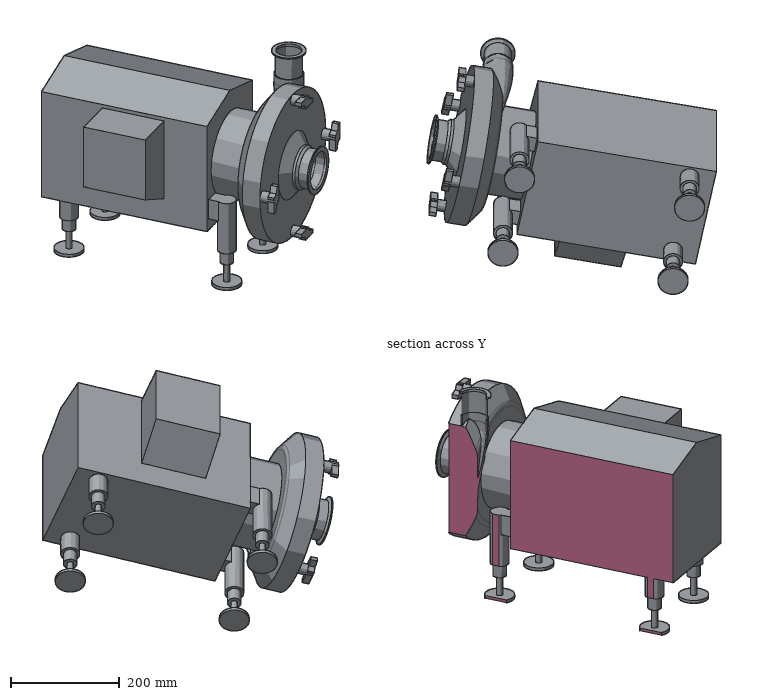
import cadquery as cq


cabinet_length = 335.5
cabinet_width = 203.0
cabinet_bottom = -118.0
eaves_height = 101.0
ridge_height = 127.5

box_start = 123.5
box_length = 124.5
box_top = 93.5
box_bottom_outer = -31.0
box_bottom_inner = -68.0
box_outer_y = -185.0

drum_diameter = 166.0
casing_diameter = 294.0
casing_back = 402.5
casing_back_radius = 114.5
casing_back_fillet = 15.5
casing_cone_end = 427.5
casing_front = 463.0

inlet_end = 515.0
inlet_cone_radius = 65.5
inlet_collar_diameter = 84.5
inlet_collar_start = 481.0
inlet_collar_end = 486.0
inlet_pipe_start = 491.5
inlet_pipe_diameter = 76.0
inlet_bore = 72.0
inlet_rim_diameter = 91.0

outlet_x = 410.0
outlet_y = 99.0
outlet_top = 181.0
outlet_rim_diameter = 64.0
outlet_pipe_diameter = 51.0
outlet_bore = 48.0
outlet_collar_diameter = 55.0
outlet_collar_top = 133.0
outlet_collar_bottom = 117.0
transition_wall = (outlet_collar_diameter - outlet_bore) / 2

rim_thickness = 2.5
flare_length = 3.0

clamp_count = 4
clamp_stem_diameter = 21.0
clamp_radius = (casing_diameter - clamp_stem_diameter) / 2
clamp_wing_start = 479.0
clamp_end = 492.0
wing_half_depth = 10.5
wing_gap_half = 2.5
wing_shoulder = 7.0
wing_step = 12.0
wing_step_front = -1.0
wing_tip = 25.0
wing_tip_front = 2.5

rear_leg_x = 46.5
front_leg_x = 365.5
leg_y = 80.5
leg_diameter = 35.0
leg_bottom = -158.5
sleeve_diameter = 25.0
sleeve_bottom = -184.0
rod_diameter = 12.0
foot_diameter = 55.5
foot_bottom = -229.0
foot_thickness = 6.0
bracket_top = -54.0
bracket_height = 40.0
bracket_width = 29.0


def rod_z(x, y, bottom, top, diameter):
    """Vertical cylinder between two heights."""
    return cq.Workplane("XY", origin=(x, y, bottom)).circle(diameter / 2).extrude(top - bottom)


def rod_x(start, end, diameter, y=0):
    """Cylinder parallel to the shaft."""
    return cq.Workplane("YZ", origin=(start, y, 0)).circle(diameter / 2).extrude(end - start)


def cabinet():
    half_width = cabinet_width / 2
    outline = [
        (-half_width, cabinet_bottom),
        (half_width, cabinet_bottom),
        (half_width, eaves_height),
        (0, ridge_height),
        (-half_width, eaves_height),
    ]
    return cq.Workplane("YZ").polyline(outline).close().extrude(cabinet_length)


def terminal_box():
    wall_y = -cabinet_width / 2
    outline = [
        (wall_y, box_top),
        (box_outer_y, box_top),
        (box_outer_y, box_bottom_outer),
        (wall_y, box_bottom_inner),
    ]
    return cq.Workplane("YZ", origin=(box_start, 0, 0)).polyline(outline).close().extrude(box_length)


def casing():
    outline = [
        (casing_back, 0),
        (casing_back, casing_back_radius),
        (casing_cone_end, casing_diameter / 2),
        (casing_front, casing_diameter / 2),
        (casing_front, 0),
    ]
    body = cq.Workplane("XY").polyline(outline).close().revolve(360, (0, 0, 0), (1, 0, 0))
    return body.faces("<X").edges().fillet(casing_back_fillet)


def inlet():
    pipe_radius = inlet_pipe_diameter / 2
    rim_start = inlet_end - rim_thickness
    outline = [
        (casing_front, 0),
        (casing_front, inlet_cone_radius),
        (inlet_collar_start, inlet_collar_diameter / 2),
        (inlet_collar_end, inlet_collar_diameter / 2),
        (inlet_pipe_start, pipe_radius),
        (rim_start - flare_length, pipe_radius),
        (rim_start, inlet_rim_diameter / 2),
        (inlet_end, inlet_rim_diameter / 2),
        (inlet_end, 0),
    ]
    body = cq.Workplane("XY").polyline(outline).close().revolve(360, (0, 0, 0), (1, 0, 0))
    return body.cut(rod_x(casing_front, inlet_end, inlet_bore))


def outlet_transition(wall):
    """Smooth volute throat below the outlet collar, shrunk all round by the wall."""
    collar_radius = outlet_collar_diameter / 2
    sections = [
        (outlet_collar_bottom, outlet_y, collar_radius, collar_radius),
        (82.5, 101.0, 26.5, 25.0),
        (26.0, 105.5, 18.5, 17.0),
        (-28.5, 98.0, 8.0, 5.5),
    ]
    ovals = []
    for height, centre_y, half_x, half_y in sections:
        oval = cq.Sketch().ellipse(half_x - wall, half_y - wall)
        ovals.append(oval.moved(cq.Location(cq.Vector(outlet_x, centre_y, height))))
    return cq.Workplane("XY").placeSketch(*ovals).loft()


def outlet():
    pipe_radius = outlet_pipe_diameter / 2
    collar_radius = outlet_collar_diameter / 2
    rim_start = outlet_top - rim_thickness
    outline = [
        (0, outlet_collar_bottom),
        (collar_radius, outlet_collar_bottom),
        (collar_radius, outlet_collar_top),
        (pipe_radius, outlet_collar_top),
        (pipe_radius, rim_start - flare_length),
        (outlet_rim_diameter / 2, rim_start),
        (outlet_rim_diameter / 2, outlet_top),
        (0, outlet_top),
    ]
    pipe = cq.Workplane("XZ", origin=(outlet_x, outlet_y, 0)).polyline(outline).close().revolve()
    bore = rod_z(outlet_x, outlet_y, outlet_collar_bottom, outlet_top, outlet_bore)
    return pipe.union(outlet_transition(0)).cut(bore).cut(outlet_transition(transition_wall))


def clamp_nut():
    """Stem with two opposed stepped wings, placed on the -Y side of the casing."""
    stem = rod_x(casing_front, clamp_end, clamp_stem_diameter, y=-clamp_radius)
    wing_outline = [
        (wing_half_depth, wing_gap_half),
        (wing_half_depth, wing_tip),
        (wing_tip_front, wing_tip),
        (wing_step_front, wing_step),
        (-wing_half_depth, wing_shoulder),
        (-wing_half_depth, wing_gap_half),
    ]
    wing_plane = cq.Workplane("YZ", origin=(clamp_wing_start, -clamp_radius, 0))
    wing = wing_plane.polyline(wing_outline).close().extrude(clamp_end - clamp_wing_start)
    opposite_wing = wing.rotate((0, -clamp_radius, 0), (1, -clamp_radius, 0), 180)
    return stem.union(wing).union(opposite_wing)


def leg(x, y, top):
    foot_top = foot_bottom + foot_thickness
    post = rod_z(x, y, leg_bottom, top, leg_diameter)
    sleeve = rod_z(x, y, sleeve_bottom, leg_bottom, sleeve_diameter)
    rod = rod_z(x, y, foot_top, sleeve_bottom, rod_diameter)
    foot = rod_z(x, y, foot_bottom, foot_top, foot_diameter)
    return post.union(sleeve).union(rod).union(foot)


def leg_bracket(y):
    """Block that joins a front leg to the end wall of the cabinet."""
    length = front_leg_x - cabinet_length
    bracket = cq.Workplane("XY").box(length, bracket_width, bracket_height, centered=(False, True, False))
    return bracket.translate((cabinet_length, y, bracket_top - bracket_height))


result = cabinet().union(terminal_box())
result = result.union(rod_x(cabinet_length, casing_back, drum_diameter))
result = result.union(casing()).union(inlet()).union(outlet())

for index in range(clamp_count):
    result = result.union(clamp_nut().rotate((0, 0, 0), (1, 0, 0), index * 360 / clamp_count))

for side in (-1, 1):
    result = result.union(leg(rear_leg_x, side * leg_y, cabinet_bottom))
    result = result.union(leg(front_leg_x, side * leg_y, bracket_top))
    result = result.union(leg_bracket(side * leg_y))